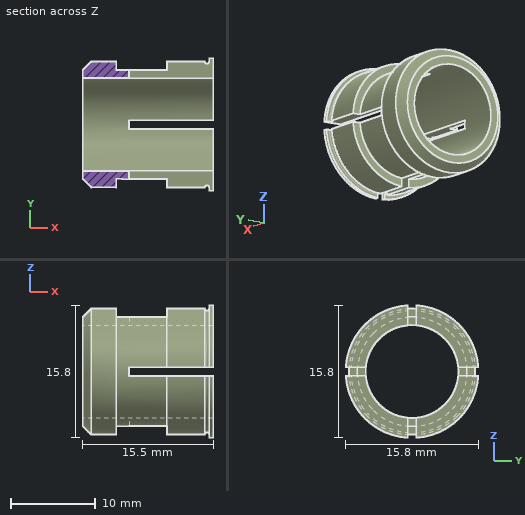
import cadquery as cq

total_length = 15.5
collar_length = 4.0
band_start = 10.0
band_end = 14.5
flange_thickness = 0.5
flange_start = total_length - flange_thickness

bore_radius = 5.5
neck_radius = 6.5
body_radius = 7.5
flange_radius = 7.9

collar_chamfer = 1.0

groove_center = (band_end + flange_start) / 2
groove_arc_radius = (flange_start - band_end) / 2

slot_width = 1.0
slot_start = 5.5
slot_angles = (0, 90)


def make_sleeve():
    """Revolve the wall section, drawn as (axial position, radius), about X."""
    section = (
        cq.Workplane("XY")
        .moveTo(0, bore_radius)
        .lineTo(0, body_radius - collar_chamfer)
        .lineTo(collar_chamfer, body_radius)
        .lineTo(collar_length, body_radius)
        .lineTo(collar_length, neck_radius)
        .lineTo(band_start, neck_radius)
        .lineTo(band_start, body_radius)
        .lineTo(band_end, body_radius)
        .threePointArc((groove_center, body_radius - groove_arc_radius), (flange_start, body_radius))
        .lineTo(flange_start, flange_radius)
        .lineTo(total_length, flange_radius)
        .lineTo(total_length, bore_radius)
        .close()
    )
    return section.revolve(360, (0, 0, 0), (1, 0, 0))


def make_slot_cutter(angle):
    """Slab across the full diameter, turned about X, open at the flange end."""
    slab = cq.Workplane("XY").box(
        total_length - slot_start,
        2 * flange_radius,
        slot_width,
        centered=(False, True, True),
    )
    return slab.translate((slot_start, 0, 0)).rotate((0, 0, 0), (1, 0, 0), angle)


result = make_sleeve()
for slot_angle in slot_angles:
    result = result.cut(make_slot_cutter(slot_angle))